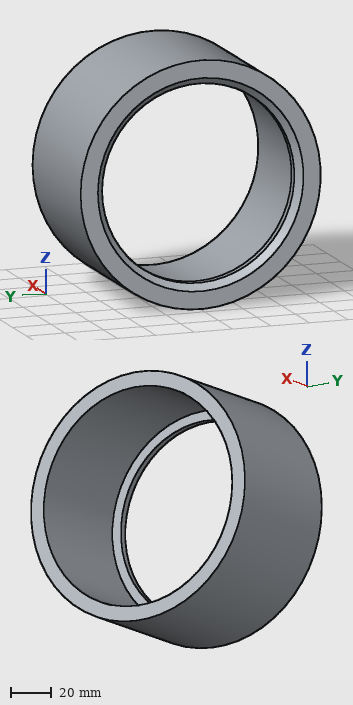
import cadquery as cq

outer_diameter = 125.0
length = 69.0
lip_bore_diameter = 100.0
main_bore_diameter = 110.0
chamfer_size = 3.5
lip_land = 4.0

outer_radius = outer_diameter / 2
lip_radius = lip_bore_diameter / 2
main_bore_radius = main_bore_diameter / 2
mouth_radius = lip_radius + chamfer_size

lip_face = -length / 2
chamfer_end = lip_face + chamfer_size
lip_end = chamfer_end + lip_land
far_face = length / 2

wall_section = [
    (lip_face, outer_radius),
    (lip_face, mouth_radius),
    (chamfer_end, lip_radius),
    (lip_end, lip_radius),
    (lip_end, main_bore_radius),
    (far_face, main_bore_radius),
    (far_face, outer_radius),
]

result = (
    cq.Workplane("XY")
    .polyline(wall_section)
    .close()
    .revolve(360, (0, 0, 0), (1, 0, 0))
)